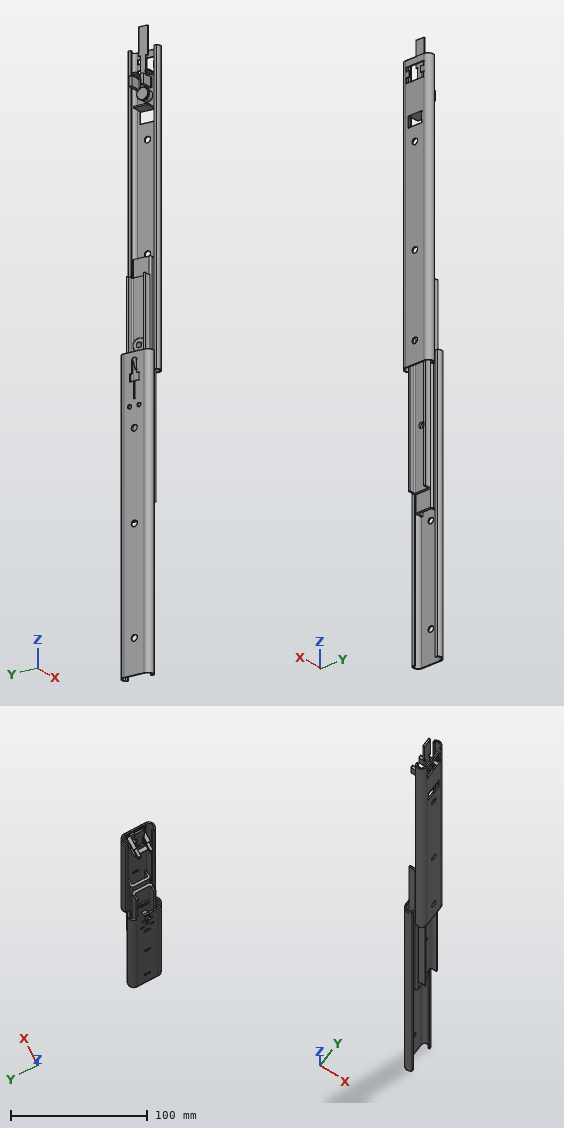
import cadquery as cq
import math

WEB_X = 9.5
HALF_WIDTH = 13.6
WALL = 1.2
CHANNEL_LENGTH = 254.0
UPPER_BOTTOM = 242.0
UPPER_TOP = UPPER_BOTTOM + CHANNEL_LENGTH
LIP_X = 1.5
LIP_HALF_GAP = 10.0
WEB_HALF_FLAT = 8.5
SIDE_PEAK_X = 4.7
LIP_CORNER_Y = 12.5
WEB_INNER_X = WEB_X - WALL

HOLE_RADIUS = 2.5
HOLE_OFFSETS = (29.5, 119.0, 194.0)
UPPER_HOLE_SHIFT = 40.5

RAIL_LENGTH = 191.0
LEFT_RAIL_BOTTOM = 124.0
RIGHT_RAIL_BOTTOM = 139.5
RAIL_DEPTH = 7.0
RAIL_BACK = 2.0
TROUGH_HALF = 6.5
RAIL_BACK_HALF_FLAT = 6.95
RAIL_RIDGE = (1.5, 8.45)
GROOVE_BOTTOM = (4.35, 7.5)
RAIL_TIP_Y = 8.0
RAIL_BEND_RADIUS = 1.0

RIVET_Z = UPPER_TOP - UPPER_HOLE_SHIFT - HOLE_OFFSETS[-1]
RIVET_HEAD_RADIUS = 5.4
RIVET_SHANK_RADIUS = 3.85
RIVET_BORE_RADIUS = 2.3
RIVET_HEAD_HEIGHT = 1.0

KEY_TOP = 249.5
KEY_SHOULDER = 237.0
KEY_BOTTOM = 231.0
KEY_NECK_HALF = 2.15
KEY_BODY_HALF = 4.0
SLIT_BOTTOM = 217.0
SLIT_WIDTH = 1.5
TAB_DROP = 7.5
TAB_ANGLE = 30
TAB_HALF_WIDTH = 2.0
PILOT_Z = 211.5
PILOT_Y = 4.0
PILOT_RADIUS = 1.65

WINDOW_HALF = 8.45
WINDOW_BOTTOM = 477.0
WINDOW_TOP = 490.5
EAR_BOTTOM = 481.5
EAR_TOP = 486.5
EAR_INNER_Y = 5.4
GUIDE_TIP_X = -1.0
GUIDE_INNER_Y = 4.0
GUIDE_OUTER_Y = 7.0
LEDGE_HALF = 6.0
LEDGE_WINDOW_HALF = 6.5
LEDGE_WINDOW_BOTTOM = 439.5
LEDGE_WINDOW_TOP = 449.0

LEVER_X = 2.3
LEVER_THICKNESS = 1.5
LEVER_TOP = 513.5
STEM_BOTTOM = 490.5
STEM_HALF = 3.85
NECK_HALF = 2.3
PRONG_BOTTOM = 464.0
PRONG_TOP = 472.5
PRONG_INNER_Y = 3.85
PRONG_OUTER_Y = 6.0
CROSS_BAR_X = 3.0
CROSS_BAR_HALF = 6.5
PRONG_TIP_X = -6.5
PIVOT_Z = 460.0
PIVOT_HEAD_RADIUS = 4.9
PIVOT_HEAD_HEIGHT = 1.0
PIVOT_SHANK_RADIUS = 2.5
PIVOT_COLLAR_RADIUS = 4.5
LEVER_PAD_RADIUS = 4.35


def block(x_range, y_range, z_range):
    """Box between the given limits."""
    (x0, x1), (y0, y1), (z0, z1) = x_range, y_range, z_range
    x0, x1 = sorted((x0, x1))
    y0, y1 = sorted((y0, y1))
    return cq.Workplane("XY").box(x1 - x0, y1 - y0, z1 - z0, centered=False).translate((x0, y0, z0))


def rod(radius, x0, x1, y, z):
    """Cylinder along X from x0 to x1."""
    return cq.Workplane("YZ", origin=(x0, 0, 0)).center(y, z).circle(radius).extrude(x1 - x0)


def channel_outline(side, z0):
    """Closed outer outline of a channel: flat web and rounded sides."""
    return (
        cq.Workplane("XY", origin=(0, 0, z0))
        .moveTo(side * WEB_X, -WEB_HALF_FLAT)
        .lineTo(side * WEB_X, WEB_HALF_FLAT)
        .threePointArc((side * SIDE_PEAK_X, HALF_WIDTH), (side * LIP_X, LIP_CORNER_Y))
        .lineTo(side * LIP_X, -LIP_CORNER_Y)
        .threePointArc((side * SIDE_PEAK_X, -HALF_WIDTH), (side * WEB_X, -WEB_HALF_FLAT))
        .close()
    )


def channel(side, z0):
    """C channel with rounded sides and lips; its web lies at X = side * WEB_X."""
    body = channel_outline(side, z0).extrude(CHANNEL_LENGTH)
    cavity = channel_outline(side, z0).offset2D(-WALL).extrude(CHANNEL_LENGTH)
    opening = block((side * LIP_X, side * SIDE_PEAK_X), (-LIP_HALF_GAP, LIP_HALF_GAP),
                    (z0, z0 + CHANNEL_LENGTH))
    return body.cut(cavity).cut(opening)


def lower_channel():
    """Channel on the -X side with screw holes, keyhole, lanced tab, slit and two small holes."""
    body = channel(-1, 0)
    for z in HOLE_OFFSETS:
        body = body.cut(rod(HOLE_RADIUS, -WEB_X, -WEB_INNER_X, 0, z))
    for y in (-PILOT_Y, PILOT_Y):
        body = body.cut(rod(PILOT_RADIUS, -WEB_X, -WEB_INNER_X, y, PILOT_Z))

    web = (-WEB_X, -WEB_INNER_X)
    arch_z = KEY_TOP - KEY_NECK_HALF
    body = body.cut(rod(KEY_NECK_HALF, *web, 0, arch_z))
    body = body.cut(block(web, (-KEY_NECK_HALF, KEY_NECK_HALF), (KEY_SHOULDER, arch_z)))
    body = body.cut(block(web, (-KEY_BODY_HALF, KEY_BODY_HALF), (KEY_BOTTOM, KEY_SHOULDER)))
    body = body.cut(block(web, (-SLIT_WIDTH / 2, SLIT_WIDTH / 2), (SLIT_BOTTOM, KEY_BOTTOM)))

    lean = TAB_DROP * math.tan(math.radians(TAB_ANGLE))
    tab = (
        cq.Workplane("XZ")
        .polyline([
            (-WEB_X, KEY_TOP),
            (-WEB_INNER_X, KEY_TOP),
            (-WEB_INNER_X + lean, KEY_TOP - TAB_DROP),
            (-WEB_X + lean, KEY_TOP - TAB_DROP),
        ])
        .close()
        .extrude(TAB_HALF_WIDTH, both=True)
    )
    return body.union(tab)


def upper_channel():
    """Channel on the +X side with screw holes, the lever window and its bent tabs."""
    body = channel(1, UPPER_BOTTOM)
    web = (WEB_INNER_X, WEB_X)
    for offset in HOLE_OFFSETS:
        body = body.cut(rod(HOLE_RADIUS, *web, 0, UPPER_TOP - offset - UPPER_HOLE_SHIFT))

    body = body.cut(block(web, (-WINDOW_HALF, WINDOW_HALF), (WINDOW_BOTTOM, WINDOW_TOP)))
    for side in (-1, 1):
        ear = block(web, (side * EAR_INNER_Y, side * WINDOW_HALF), (EAR_BOTTOM, EAR_TOP))
        guide = block((GUIDE_TIP_X, WEB_X), (side * GUIDE_INNER_Y, side * GUIDE_OUTER_Y),
                      (WINDOW_BOTTOM - WALL, WINDOW_BOTTOM))
        body = body.union(ear).union(guide)

    body = body.cut(block(web, (-LEDGE_WINDOW_HALF, LEDGE_WINDOW_HALF),
                          (LEDGE_WINDOW_BOTTOM, LEDGE_WINDOW_TOP)))
    ledge = block((GUIDE_TIP_X, WEB_X), (-LEDGE_HALF, LEDGE_HALF),
                  (LEDGE_WINDOW_TOP, LEDGE_WINDOW_TOP + WALL))
    return body.union(ledge)


def rail(side, z0):
    """Rail with its back on X = 0 and grooved legs that reach toward X = side * RAIL_DEPTH."""
    ridge_x, ridge_y = RAIL_RIDGE
    groove_x, groove_y = GROOVE_BOTTOM
    outer = (
        cq.Workplane("XY", origin=(0, 0, z0))
        .moveTo(0, -RAIL_BACK_HALF_FLAT)
        .lineTo(0, RAIL_BACK_HALF_FLAT)
        .lineTo(side * ridge_x, ridge_y)
        .threePointArc((side * groove_x, groove_y), (side * RAIL_DEPTH, RAIL_TIP_Y))
        .lineTo(side * RAIL_DEPTH, -RAIL_TIP_Y)
        .threePointArc((side * groove_x, -groove_y), (side * ridge_x, -ridge_y))
        .close()
        .extrude(RAIL_LENGTH)
    )
    trough = block((side * RAIL_BACK, side * RAIL_DEPTH), (-TROUGH_HALF, TROUGH_HALF),
                   (z0, z0 + RAIL_LENGTH))
    trough = trough.edges(f"|Z and ({'>' if side < 0 else '<'}X)").fillet(RAIL_BEND_RADIUS)
    body = outer.cut(trough)
    body = body.cut(rod(RIVET_SHANK_RADIUS, 0, side * RAIL_BACK, 0, RIVET_Z))
    return body.cut(rod(HOLE_RADIUS, 0, side * RAIL_BACK, 0, HOLE_OFFSETS[-1]))


def rail_rivet():
    """Hollow rivet with a head on the inner face of each rail."""
    head_end = RAIL_BACK + RIVET_HEAD_HEIGHT
    body = rod(RIVET_SHANK_RADIUS, -head_end, head_end, 0, RIVET_Z)
    for side in (-1, 1):
        body = body.union(rod(RIVET_HEAD_RADIUS, side * RAIL_BACK, side * head_end, 0, RIVET_Z))
    return body.cut(rod(RIVET_BORE_RADIUS, -head_end, head_end, 0, RIVET_Z))


def release_lever():
    """Flat stem and neck, a cross bar with two prongs, and a round pad on the pivot."""
    sheet = (LEVER_X, LEVER_X + LEVER_THICKNESS)
    body = block(sheet, (-STEM_HALF, STEM_HALF), (STEM_BOTTOM, LEVER_TOP))
    body = body.union(block(sheet, (-NECK_HALF, NECK_HALF), (PIVOT_Z, STEM_BOTTOM)))
    body = body.union(block((CROSS_BAR_X, sheet[1]), (-CROSS_BAR_HALF, CROSS_BAR_HALF),
                            (PRONG_BOTTOM, PRONG_TOP)))
    for side in (-1, 1):
        body = body.union(block((PRONG_TIP_X, sheet[1]), (side * PRONG_INNER_Y, side * PRONG_OUTER_Y),
                                (PRONG_BOTTOM, PRONG_TOP)))
    body = body.union(rod(LEVER_PAD_RADIUS, *sheet, 0, PIVOT_Z))
    return body.cut(rod(PIVOT_SHANK_RADIUS, *sheet, 0, PIVOT_Z))


def lever_pivot():
    """Headed pin that carries the lever, standing on the inner face of the upper web."""
    head = rod(PIVOT_HEAD_RADIUS, LEVER_X - PIVOT_HEAD_HEIGHT, LEVER_X, 0, PIVOT_Z)
    shank = rod(PIVOT_SHANK_RADIUS, LEVER_X, WEB_INNER_X, 0, PIVOT_Z)
    collar = rod(PIVOT_COLLAR_RADIUS, LEVER_X + LEVER_THICKNESS, WEB_INNER_X, 0, PIVOT_Z)
    return head.union(shank).union(collar)


rails = [rail(-1, LEFT_RAIL_BOTTOM), rail(1, RIGHT_RAIL_BOTTOM)]

result = cq.Compound.makeCompound([
    lower_channel().val(),
    upper_channel().val(),
    *[body.val() for body in rails],
    rail_rivet().val(),
    release_lever().val(),
    lever_pivot().val(),
])